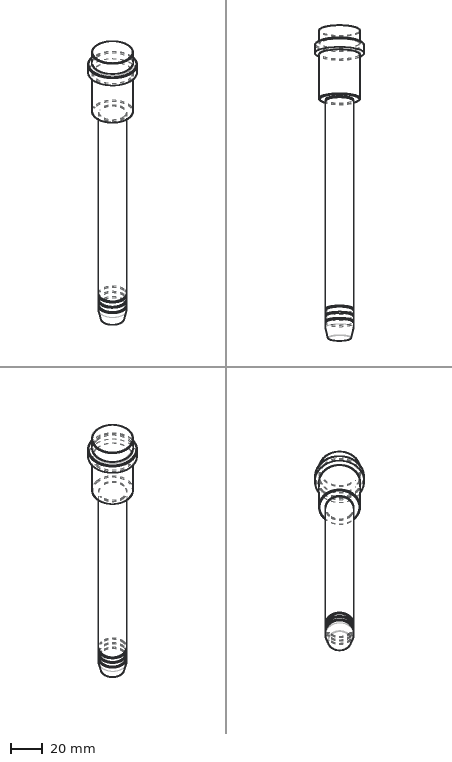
import cadquery as cq

total_length = 200.0
head_diameter = 26.0
flange_diameter = 31.0
shaft_diameter = 18.0

flange_top_depth = 9.0
flange_thickness = 6.0
head_length = 45.0

edge_chamfer = 0.5
top_chamfer = 0.5
relief_width = 1.0
relief_depth = 0.5
relief_radius = relief_width / 2

tip_diameter = 14.8
tip_rounding = 0.5
tip_length = 7.0

groove_radius = 0.5
first_groove_height = 10.5
groove_pitch = 4.0
groove_count = 3


def cylinder(diameter, bottom, top):
    """Solid cylinder on the Z axis between two heights."""
    return cq.Workplane("XY").workplane(offset=bottom).circle(diameter / 2).extrude(top - bottom)


def ring_groove(diameter, depth, bottom, width):
    """Ring-shaped cutter for a groove in a cylinder of the given diameter."""
    outer = cylinder(flange_diameter, bottom, bottom + width)
    core = cylinder(diameter - 2 * depth, bottom, bottom + width)
    return outer.cut(core)


def round_groove(diameter, radius, height):
    """Torus cutter for a half-round groove centred on a cylinder surface."""
    section = cq.Workplane("XZ").center(diameter / 2, height).circle(radius)
    return section.revolve(360, (-diameter / 2, 0), (-diameter / 2, 1))


head_bottom = total_length - head_length
flange_top = total_length - flange_top_depth
flange_bottom = flange_top - flange_thickness

shaft = cylinder(shaft_diameter, 0, head_bottom)
shaft = shaft.faces("<Z").chamfer(tip_length, (shaft_diameter - tip_diameter) / 2)
shaft = shaft.faces("<Z").edges().fillet(tip_rounding)

head = cylinder(head_diameter, head_bottom, total_length)
head = head.faces("<Z").chamfer(edge_chamfer).faces(">Z").chamfer(top_chamfer)
flange = cylinder(flange_diameter, flange_bottom, flange_top).faces(">Z").chamfer(edge_chamfer)
result = shaft.union(head).union(flange)

for height in (flange_top + relief_radius, flange_bottom - relief_radius):
    result = result.cut(round_groove(head_diameter, relief_radius, height))

result = result.cut(ring_groove(shaft_diameter, relief_depth, head_bottom - relief_width, relief_width))

for index in range(groove_count):
    groove_height = first_groove_height + index * groove_pitch
    result = result.cut(round_groove(shaft_diameter, groove_radius, groove_height))